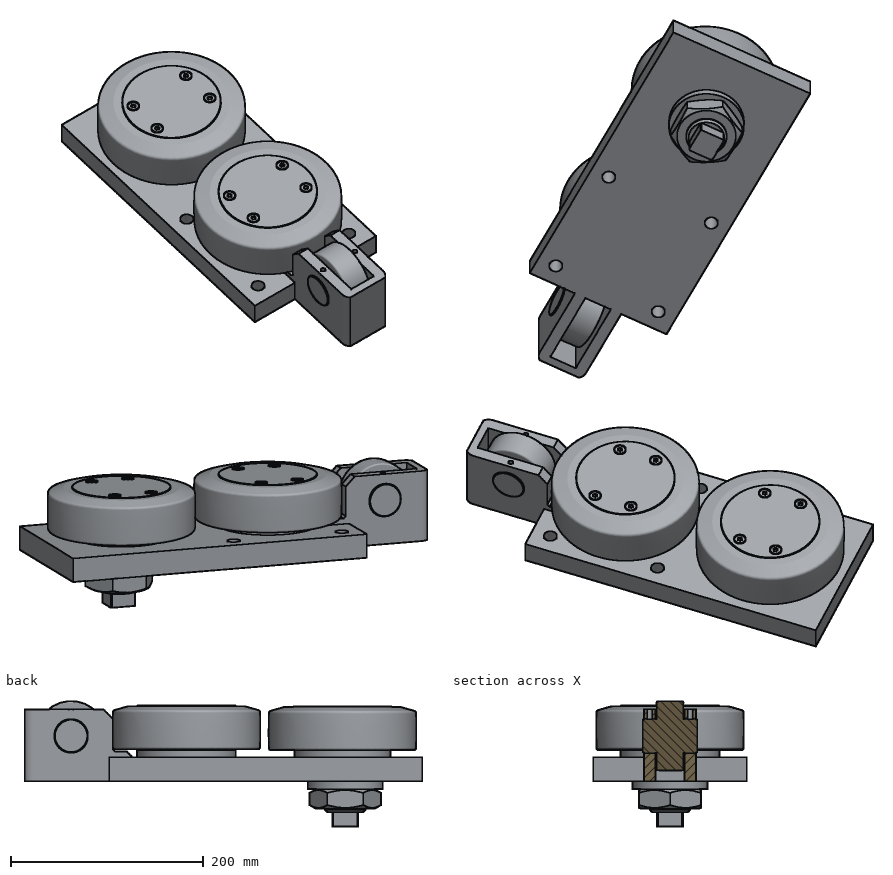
import cadquery as cq
import math

TOTAL_LENGTH = 413.0
PLATE_LENGTH = 325.0
PLATE_WIDTH = 160.0
PLATE_THICKNESS = 25.0
MOUNT_HOLE_DIAMETER = 13.5
MOUNT_HOLE_SPACING = 119.8

FIXED_ROLLER_X = 245.0
ROLLER_SPACING = 162.0
ADJUSTABLE_ROLLER_X = FIXED_ROLLER_X - ROLLER_SPACING
ROLLER_DIAMETER = 153.5
ROLLER_FACE_DIAMETER = 120.5
ROLLER_HEIGHT = 45.0
ROLLER_CONE_HEIGHT = 4.5
ROLLER_CROWN = 0.5
ROLLER_TOP_FILLET = 3.0
ROLLER_BOTTOM_FILLET = 2.5
FIXED_ROLLER_BOTTOM = 33.0
ADJUSTABLE_ROLLER_BOTTOM = 32.2
FIXED_NECK_DIAMETER = 103.0
FIXED_NECK_TOP = 32.2
FIXED_HUB_DIAMETER = 101.5
ADJUSTABLE_NECK_DIAMETER = 100.0

CAP_BASE_DIAMETER = 103.0
CAP_TOP_DIAMETER = 101.5
CAP_HEIGHT = 0.6
SCREW_CIRCLE_RADIUS = 40.0
SCREW_ANGLES = (60, 120, 240, 300)
SCREW_HEAD_DIAMETER = 11.5
SCREW_GROOVE_DIAMETER = 12.5
SCREW_GROOVE_DEPTH = 1.0
SCREW_SOCKET_SIDES = 6
SCREW_SOCKET_DIAMETER = 5.0
SCREW_SOCKET_DEPTH = 1.5

ECCENTRICITY = 3.0
BOLT_X = ADJUSTABLE_ROLLER_X - ECCENTRICITY
COLLAR_DIAMETER = 78.0
COLLAR_BOTTOM = -8.3
NUT_SIDES = 6
NUT_ACROSS_FLATS = 64.5
NUT_FACE_DIAMETER = 61.0
NUT_BOTTOM = -28.5
NUT_CHAMFER_ANGLE = 30
THREAD_DIAMETER = 42.0
THREAD_BOTTOM = -32.2
THREAD_CHAMFER = 2.5
SQUARE_WIDTH = 27.3
SQUARE_CHAMFER = 1.2
SQUARE_BOTTOM = -47.0

FORK_WIDTH = 54.0
FORK_TOP = 74.8
FORK_LEG_LEFT = 321.5
FORK_LEG_CHAMFER = 10.0
FORK_CORNER_RADIUS = 11.0
FORK_FOOT_LEFT = 301.0
FORK_FOOT_TOP = 31.0
FORK_FOOT_BEVEL = 2.5
SLOT_WIDTH = 29.7
SLOT_RIGHT = 404.5
SET_HOLE_DIAMETER = 5.0

WHEEL_X = 364.5
WHEEL_Z = 47.0
WHEEL_DIAMETER = 72.5
WHEEL_WIDTH = 28.0
WHEEL_CROWN = 0.5
WHEEL_EDGE_FILLET = 1.5
PIN_DIAMETER = 35.0
PIN_LENGTH = 56.5
PIN_CHAMFER = 1.0


def disc(x, diameter, bottom, top):
    """Upright cylinder centred on Y = 0."""
    return cq.Workplane("XY", origin=(x, 0, bottom)).circle(diameter / 2).extrude(top - bottom)


def base_plate():
    plate = cq.Workplane("XY").box(PLATE_LENGTH, PLATE_WIDTH, PLATE_THICKNESS, centered=(False, True, False))
    holes = (
        cq.Workplane("XY", origin=(FIXED_ROLLER_X, 0, 0))
        .rect(MOUNT_HOLE_SPACING, MOUNT_HOLE_SPACING, forConstruction=True)
        .vertices()
        .circle(MOUNT_HOLE_DIAMETER / 2)
        .extrude(PLATE_THICKNESS)
    )
    return plate.cut(holes)


def roller_tread(x, bottom):
    """Crowned roller with a shallow cone around its flat top face."""
    radius = ROLLER_DIAMETER / 2
    edge_radius = radius - ROLLER_CROWN
    shoulder = ROLLER_HEIGHT - ROLLER_CONE_HEIGHT
    tread = (
        cq.Workplane("XZ")
        .lineTo(edge_radius, 0)
        .threePointArc((radius, shoulder / 2), (edge_radius, shoulder))
        .lineTo(ROLLER_FACE_DIAMETER / 2, ROLLER_HEIGHT)
        .lineTo(0, ROLLER_HEIGHT)
        .close()
        .revolve(360, (0, 0, 0), (0, 1, 0))
    )
    tread = tread.faces("%CONE").edges("<Z").fillet(ROLLER_TOP_FILLET)
    tread = tread.faces("<Z").edges().fillet(ROLLER_BOTTOM_FILLET)
    return tread.translate((x, 0, bottom))


def cap_screw_cuts(x, cap_top):
    """Groove around the head, and hexagonal socket, of each of the four cap screws."""
    angles = [math.radians(angle) for angle in SCREW_ANGLES]
    points = [(SCREW_CIRCLE_RADIUS * math.cos(a), SCREW_CIRCLE_RADIUS * math.sin(a)) for a in angles]
    surface = cq.Workplane("XY", origin=(x, 0, cap_top)).pushPoints(points)
    grooves = (
        surface.circle(SCREW_GROOVE_DIAMETER / 2)
        .circle(SCREW_HEAD_DIAMETER / 2)
        .extrude(-SCREW_GROOVE_DEPTH)
    )
    sockets = surface.polygon(SCREW_SOCKET_SIDES, SCREW_SOCKET_DIAMETER).extrude(-SCREW_SOCKET_DEPTH)
    return grooves.union(sockets)


def roller(x, bottom):
    """Tread topped by a bevelled cap with its four screws."""
    face = bottom + ROLLER_HEIGHT
    cap_top = face + CAP_HEIGHT
    cap = (
        cq.Workplane("XY", origin=(x, 0, face))
        .circle(CAP_BASE_DIAMETER / 2)
        .workplane(offset=CAP_HEIGHT)
        .circle(CAP_TOP_DIAMETER / 2)
        .loft()
    )
    return roller_tread(x, bottom).union(cap).cut(cap_screw_cuts(x, cap_top))


def fixed_roller():
    neck = disc(FIXED_ROLLER_X, FIXED_NECK_DIAMETER, PLATE_THICKNESS, FIXED_NECK_TOP)
    hub = disc(FIXED_ROLLER_X, FIXED_HUB_DIAMETER, FIXED_NECK_TOP, FIXED_ROLLER_BOTTOM)
    return roller(FIXED_ROLLER_X, FIXED_ROLLER_BOTTOM).union(neck).union(hub)


def adjustable_roller():
    neck = disc(ADJUSTABLE_ROLLER_X, ADJUSTABLE_NECK_DIAMETER, PLATE_THICKNESS, ADJUSTABLE_ROLLER_BOTTOM)
    return roller(ADJUSTABLE_ROLLER_X, ADJUSTABLE_ROLLER_BOTTOM).union(neck)


def hex_nut():
    """Hexagon whose corners are turned down to a cone at both ends."""
    height = COLLAR_BOTTOM - NUT_BOTTOM
    face_radius = NUT_FACE_DIAMETER / 2
    corner_radius = NUT_ACROSS_FLATS / 2 / math.cos(math.pi / NUT_SIDES)
    drop = (corner_radius - face_radius) * math.tan(math.radians(NUT_CHAMFER_ANGLE))
    hexagon = cq.Workplane("XY").polygon(NUT_SIDES, 2 * corner_radius).extrude(height)
    envelope = (
        cq.Workplane("XZ")
        .polyline([(0, 0), (face_radius, 0), (corner_radius, drop), (corner_radius, height - drop),
                   (face_radius, height), (0, height)])
        .close()
        .revolve(360, (0, 0, 0), (0, 1, 0))
    )
    return hexagon.intersect(envelope).translate((BOLT_X, 0, NUT_BOTTOM))


def eccentric_bolt():
    collar = disc(BOLT_X, COLLAR_DIAMETER, COLLAR_BOTTOM, 0)
    thread = disc(BOLT_X, THREAD_DIAMETER, THREAD_BOTTOM, NUT_BOTTOM).faces("<Z").chamfer(THREAD_CHAMFER)
    square = (
        cq.Workplane("XY", origin=(BOLT_X, 0, SQUARE_BOTTOM))
        .rect(SQUARE_WIDTH, SQUARE_WIDTH)
        .extrude(THREAD_BOTTOM - SQUARE_BOTTOM)
        .edges("|Z")
        .chamfer(SQUARE_CHAMFER)
    )
    return collar.union(hex_nut()).union(thread).union(square)


def fork():
    """Two legs joined at the right end, each with a foot resting on the plate."""
    foot_rise = FORK_FOOT_TOP - PLATE_THICKNESS
    outline = [
        (PLATE_LENGTH, 0),
        (TOTAL_LENGTH, 0),
        (TOTAL_LENGTH, FORK_TOP),
        (FORK_LEG_LEFT + FORK_LEG_CHAMFER, FORK_TOP),
        (FORK_LEG_LEFT, FORK_TOP - FORK_LEG_CHAMFER),
        (FORK_LEG_LEFT, FORK_FOOT_TOP + FORK_FOOT_BEVEL),
        (FORK_LEG_LEFT - FORK_FOOT_BEVEL, FORK_FOOT_TOP),
        (FORK_FOOT_LEFT + foot_rise, FORK_FOOT_TOP),
        (FORK_FOOT_LEFT, PLATE_THICKNESS),
        (PLATE_LENGTH, PLATE_THICKNESS),
    ]
    block = cq.Workplane("XZ").polyline(outline).close().extrude(FORK_WIDTH / 2, both=True)

    end_sides = cq.Workplane("XY", origin=(SLOT_RIGHT, 0, 0)).box(
        TOTAL_LENGTH - SLOT_RIGHT, FORK_WIDTH, FORK_TOP, centered=(False, True, False)
    )
    rounded = (
        cq.Workplane("XY", origin=(SLOT_RIGHT, 0, 0))
        .slot2D(FORK_WIDTH, 2 * FORK_CORNER_RADIUS, 90)
        .extrude(FORK_TOP)
    )
    block = block.cut(end_sides.cut(rounded))

    slot_length = SLOT_RIGHT - FORK_FOOT_LEFT
    slot = cq.Workplane("XY", origin=(FORK_FOOT_LEFT, 0, 0)).box(
        slot_length, SLOT_WIDTH, FORK_TOP, centered=(False, True, False)
    )
    leg_middle = (FORK_WIDTH + SLOT_WIDTH) / 4
    set_holes = (
        cq.Workplane("XY", origin=(WHEEL_X, 0, WHEEL_Z))
        .pushPoints([(0, leg_middle), (0, -leg_middle)])
        .circle(SET_HOLE_DIAMETER / 2)
        .extrude(FORK_TOP - WHEEL_Z)
    )
    return block.cut(slot).cut(axle_pin()).cut(set_holes)


def axle_pin():
    return (
        cq.Workplane("XZ", origin=(WHEEL_X, 0, WHEEL_Z))
        .circle(PIN_DIAMETER / 2)
        .extrude(PIN_LENGTH / 2, both=True)
        .faces("<Y or >Y")
        .chamfer(PIN_CHAMFER)
    )


def guide_wheel():
    """Crowned wheel running in the fork, in one piece with its pin."""
    radius = WHEEL_DIAMETER / 2
    half_width = WHEEL_WIDTH / 2
    edge_radius = radius - WHEEL_CROWN
    wheel = (
        cq.Workplane("XY")
        .moveTo(0, -half_width)
        .lineTo(edge_radius, -half_width)
        .threePointArc((radius, 0), (edge_radius, half_width))
        .lineTo(0, half_width)
        .close()
        .revolve(360, (0, 0, 0), (0, 1, 0))
        .faces("<Y or >Y")
        .edges()
        .fillet(WHEEL_EDGE_FILLET)
        .translate((WHEEL_X, 0, WHEEL_Z))
    )
    return wheel.union(axle_pin())


carriage = base_plate().union(fork()).union(fixed_roller()).union(adjustable_roller()).union(eccentric_bolt())
wheel = guide_wheel()

result = cq.Compound.makeCompound([carriage.solids().val(), wheel.solids().val()])